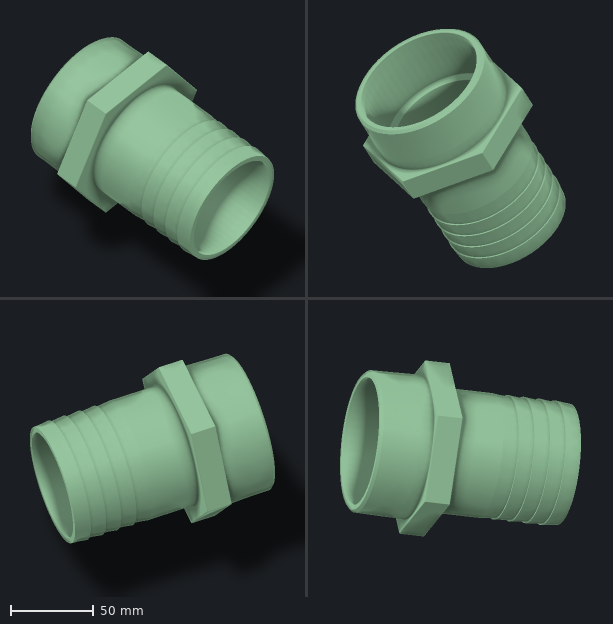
import cadquery as cq
import math

total_length = 129.0
hex_start = 33.0
hex_width = 15.9
hex_end = hex_start + hex_width
hex_across_flats = 93.0
hex_sides = 6

tip_chamfer = 1.7
taper_end = 25.4
neck_radius = 44.1
thread_start_radius = 43.6

hose_radius = 38.2
barb_start = 79.3
barb_count = 5
barb_pitch = (total_length - barb_start) / barb_count
barb_drop = 1.0

wide_bore_radius = 39.0
narrow_bore_radius = 33.7
wide_bore_depth = 36.8

edge_round = 0.5
hose_root_round = 0.8


def fitting_profile():
    """Half section of the outer body, with rounds where it meets the hexagon."""
    profile = (
        cq.Workplane("XY")
        .moveTo(0, 0)
        .lineTo(0, thread_start_radius - tip_chamfer)
        .lineTo(tip_chamfer, thread_start_radius)
        .lineTo(taper_end, neck_radius)
        .lineTo(hex_start - edge_round, neck_radius)
        .radiusArc((hex_start, neck_radius + edge_round), -edge_round)
        .lineTo(hex_end, neck_radius + edge_round)
        .lineTo(hex_end, hose_radius + hose_root_round)
        .radiusArc((hex_end + hose_root_round, hose_radius), -hose_root_round)
        .lineTo(barb_start, hose_radius)
    )
    for index in range(1, barb_count + 1):
        barb_end = barb_start + index * barb_pitch
        profile = profile.lineTo(barb_end, hose_radius - barb_drop)
        if index < barb_count:
            profile = profile.lineTo(barb_end, hose_radius)
    return profile.lineTo(total_length, 0).close()


def hexagon():
    """Wrench hexagon with corners on the Y axis and all edges rounded."""
    corner_diameter = hex_across_flats / math.cos(math.pi / hex_sides)
    blank = (
        cq.Workplane("YZ", origin=(hex_start, 0, 0))
        .polygon(hex_sides, corner_diameter)
        .extrude(hex_width)
    )
    return blank.edges().fillet(edge_round)


def bore_profile():
    """Half section of the through bore, widened from the threaded end, with rounded mouth and step."""
    floor = wide_bore_depth
    return (
        cq.Workplane("XY")
        .moveTo(0, 0)
        .lineTo(0, wide_bore_radius + edge_round)
        .radiusArc((edge_round, wide_bore_radius), -edge_round)
        .lineTo(floor - edge_round, wide_bore_radius)
        .radiusArc((floor, wide_bore_radius - edge_round), edge_round)
        .lineTo(floor, narrow_bore_radius + edge_round)
        .radiusArc((floor + edge_round, narrow_bore_radius), -edge_round)
        .lineTo(total_length, narrow_bore_radius)
        .lineTo(total_length, 0)
        .close()
    )


def revolve_about_x(profile):
    """Full revolution of a half section around the X axis."""
    return profile.revolve(360, (0, 0, 0), (1, 0, 0))


body = revolve_about_x(fitting_profile())
bore = revolve_about_x(bore_profile())
result = body.union(hexagon()).cut(bore)